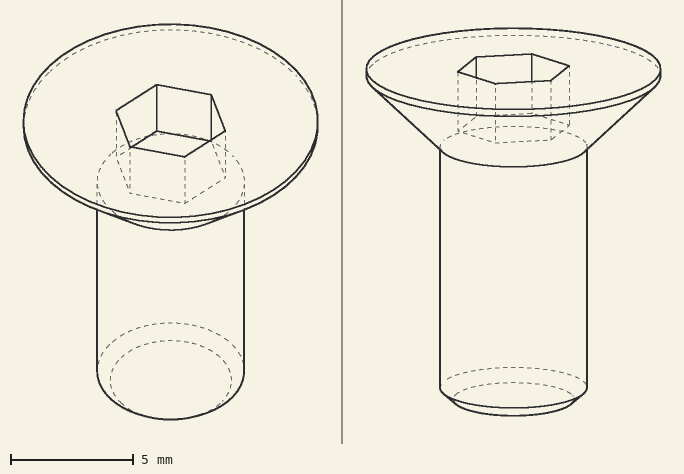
import cadquery as cq
import math

total_length = 14.0
head_diameter = 12.0
shank_diameter = head_diameter / 2
rim_height = 0.3
tip_chamfer_height = 0.49
tip_chamfer_width = 0.53
socket_across_flats = 4.0
socket_depth = 2.5

head_radius = head_diameter / 2
shank_radius = shank_diameter / 2
rim_bottom = total_length - rim_height
cone_bottom = rim_bottom - (head_radius - shank_radius)
socket_across_corners = socket_across_flats / math.cos(math.pi / 6)


def screw_body():
    """Revolve the half profile of head, shank and chamfered tip about Z."""
    profile = (
        cq.Workplane("XZ")
        .moveTo(0, 0)
        .lineTo(shank_radius - tip_chamfer_width, 0)
        .lineTo(shank_radius, tip_chamfer_height)
        .lineTo(shank_radius, cone_bottom)
        .lineTo(head_radius, rim_bottom)
        .lineTo(head_radius, total_length)
        .lineTo(0, total_length)
        .close()
    )
    return profile.revolve(360, (0, 0, 0), (0, 1, 0))


def hex_socket():
    """Flat-bottomed hexagonal recess with two corners on the Y axis."""
    return (
        cq.Workplane("XY")
        .workplane(offset=total_length - socket_depth)
        .transformed(rotate=(0, 0, 90))
        .polygon(6, socket_across_corners)
        .extrude(socket_depth)
    )


result = screw_body().cut(hex_socket())